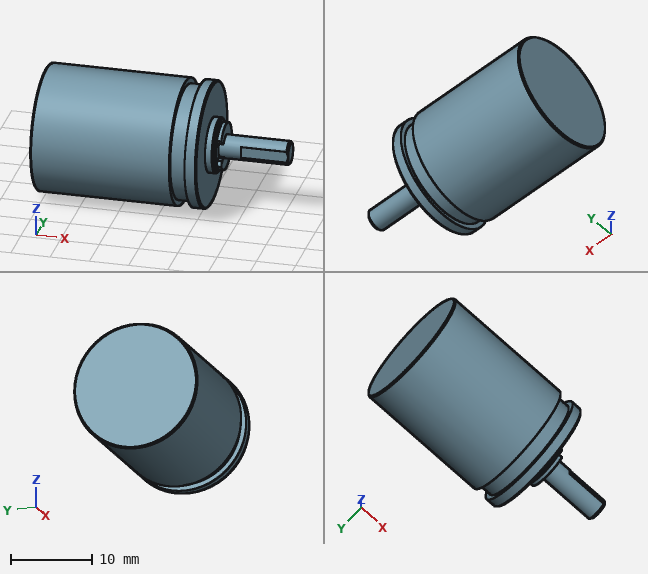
import cadquery as cq
import math

body_end = 17.7
groove_end = 19.7
flange_end = 21.15
boss_end = 22.18
washer_end = 22.37
clip_end = 22.95
flat_start = 25.2
shaft_end = 31.2

body_radius = 8.003
groove_radius = 7.27
boss_radius = 3.5
washer_radius = 2.78
clip_radius = 3.0
shaft_radius = 1.5

body_chamfer = 0.15
boss_chamfer = 0.2
shaft_chamfer = 0.22

flat_depth = 0.2
mouth_half_width = 1.75
throat_half_width = 0.97
lip_half_width = 1.22
lip_y = -1.85
throat_bevel = lip_half_width - throat_half_width


def disc(start, end, radius):
    """Cylinder along X between two stations."""
    return cq.Workplane("YZ").workplane(offset=start).circle(radius).extrude(end - start)


def make_housing():
    body = disc(0, body_end, body_radius).faces("<X").chamfer(body_chamfer)
    groove = disc(body_end, groove_end, groove_radius)
    flange = disc(groove_end, flange_end, body_radius).faces(">X").chamfer(body_chamfer)
    boss = disc(flange_end, boss_end, boss_radius).faces(">X").chamfer(boss_chamfer)
    washer = disc(boss_end, washer_end, washer_radius)
    return body.union(groove).union(flange).union(boss).union(washer)


def make_clip():
    """Retaining ring whose mouth narrows in a rounded lip and a bevel to the throat."""
    rim_y = -math.sqrt(clip_radius**2 - mouth_half_width**2)
    lip_radius = mouth_half_width - lip_half_width
    throat_y = lip_y + throat_bevel
    mouth = (
        cq.Workplane("YZ")
        .workplane(offset=washer_end)
        .moveTo(-clip_radius, -mouth_half_width)
        .lineTo(rim_y, -mouth_half_width)
        .radiusArc((lip_y, -lip_half_width), lip_radius)
        .lineTo(throat_y, -throat_half_width)
        .lineTo(0, -throat_half_width)
        .lineTo(0, throat_half_width)
        .lineTo(throat_y, throat_half_width)
        .lineTo(lip_y, lip_half_width)
        .radiusArc((rim_y, mouth_half_width), lip_radius)
        .lineTo(-clip_radius, mouth_half_width)
        .close()
        .extrude(clip_end - washer_end)
    )
    return disc(washer_end, clip_end, clip_radius).cut(mouth)


def make_shaft():
    shaft = disc(washer_end, shaft_end, shaft_radius).faces(">X").chamfer(shaft_chamfer)
    flat_length = shaft_end - flat_start
    flat_cut = cq.Workplane("XY").box(
        flat_length, flat_depth, 2 * shaft_radius, centered=(False, False, True)
    ).translate((flat_start, -shaft_radius, 0))
    return shaft.cut(flat_cut)


result = make_housing().union(make_clip()).union(make_shaft())